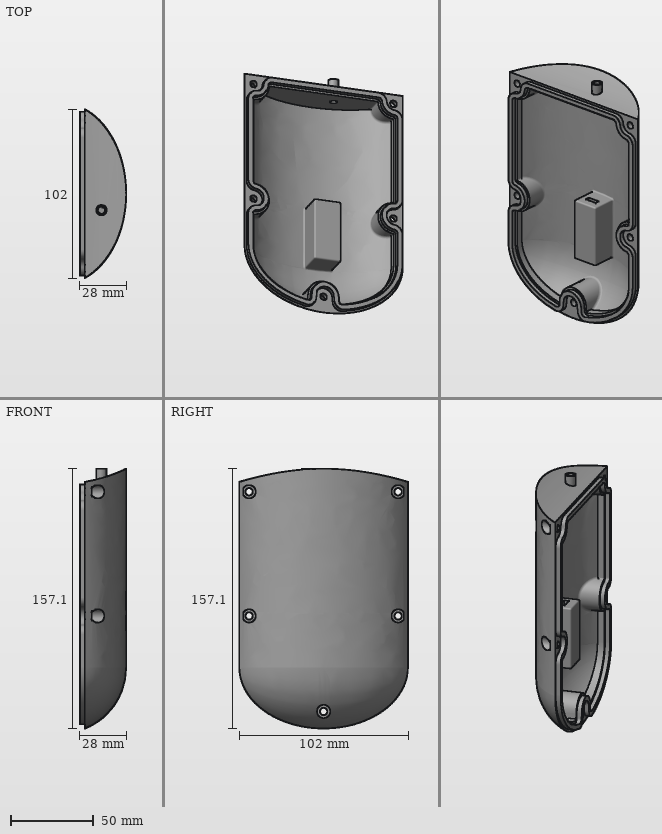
import cadquery as cq
import math

FLANGE_X = 3.0
BACK_X = 28.0
TOP_ARC_RADIUS = 90.0
FLANGE_TOP_Z = 112.0
OVERALL_HEIGHT = 157.05

DOME_RADIUS = 40.0
DOME_HALF_WIDTH = 55.0
DOME_AXIS_X = BACK_X - DOME_RADIUS
SHELL_THICKNESS = 2.5

FLANGE_DROP = FLANGE_X - DOME_AXIS_X
FLANGE_SCALE = math.sqrt(1 - (FLANGE_DROP / DOME_RADIUS) ** 2)
FLANGE_HALF_WIDTH = DOME_HALF_WIDTH * FLANGE_SCALE
FLANGE_END_DEPTH = DOME_RADIUS * FLANGE_SCALE
CROWN_TOP_Z = OVERALL_HEIGHT - FLANGE_END_DEPTH

RIM_OUTER_INSET = 1.5
RIM_INNER_INSET = 4.5
CAVITY_INSET = 6.0
CAVITY_CORNER_RADIUS = 1.0
CAVITY_TOP_Z = FLANGE_TOP_Z - CAVITY_INSET

BOSS_RADIUS = 10.0
BOSS_BASE_FILLET = 1.5
BOSS_CLEARANCE = 0.02
SCREW_HOLE_DIAMETER = 4.3
COUNTERBORE_DIAMETER = 8.0
COUNTERBORE_FLOOR_X = 7.0
SIDE_SCREW_Y = 45.0
SIDE_SCREW_HEIGHTS = (31.0, 106.0)
END_SCREW_Z = -26.7
END_BOSS_FLARE = math.radians(5)

BLOCK_FRONT_X = 8.0
BLOCK_BACK_X = 26.5
BLOCK_Y = (-13.0, 4.0)
BLOCK_MIDDLE_Y = sum(BLOCK_Y) / 2
BLOCK_HEIGHT = 39.0
BLOCK_FILLET = 1.0
SOCKET_LENGTH = 8.0
SOCKET_WIDTH = 3.0
SOCKET_DEPTH = 5.0
SOCKET_X = 15.0

TUBE_X = 13.0
TUBE_Y = -10.0
TUBE_OUTER_DIAMETER = 6.3
TUBE_BORE_DIAMETER = 4.3
TUBE_BORE_OVERRUN = 1.0

TOLERANCE = 0.05
REACH = 200.0

SIDE_SCREWS = [(side * SIDE_SCREW_Y, z) for side in (-1, 1) for z in SIDE_SCREW_HEIGHTS]
SCREWS = SIDE_SCREWS + [(0, END_SCREW_Z)]


def prism(sketch, x_from, x_to):
    """Extrude a closed YZ outline between two x positions."""
    return sketch.extrude(x_to - x_from).translate((x_from, 0, 0))


def cylinder_x(y, z, diameter, x_from, x_to):
    return prism(cq.Workplane("YZ").center(y, z).circle(diameter / 2), x_from, x_to)


def flange_outline(inset):
    """U-shaped flange outline, shrunk by the inset on every side."""
    half_width = FLANGE_HALF_WIDTH - inset
    end_depth = FLANGE_END_DEPTH - inset
    top_z = FLANGE_TOP_Z - inset
    return (
        cq.Workplane("YZ")
        .moveTo(half_width, 0)
        .lineTo(half_width, top_z)
        .lineTo(-half_width, top_z)
        .lineTo(-half_width, 0)
        .ellipseArc(half_width, end_depth, 180, 360, startAtCurrent=True)
        .close()
    )


def boss(y, z, radius, x_from, x_to):
    """Boss column; the one in the rounded end runs down past the end wall."""
    if y != 0:
        return cylinder_x(y, z, 2 * radius, x_from, x_to)
    tangent_y = radius * math.cos(END_BOSS_FLARE)
    tangent_z = z + radius * math.sin(END_BOSS_FLARE)
    foot_z = -DOME_RADIUS
    foot_y = tangent_y + (tangent_z - foot_z) * math.tan(END_BOSS_FLARE)
    arch = (
        cq.Workplane("YZ")
        .moveTo(tangent_y, tangent_z)
        .threePointArc((0, z + radius), (-tangent_y, tangent_z))
        .lineTo(-foot_y, foot_z)
        .lineTo(foot_y, foot_z)
        .close()
    )
    return prism(arch, x_from, x_to)


def runs_along_x(edge):
    start = edge.startPoint()
    end = edge.endPoint()
    return math.hypot(end.y - start.y, end.z - start.z) < TOLERANCE


def is_sharp_corner(edge):
    """True for corner edges along X, leaving out those where the outline runs on smoothly."""
    z = edge.startPoint().z
    return runs_along_x(edge) and (z > TOLERANCE or z < END_SCREW_Z - TOLERANCE)


def sealing_prism(inset, x_from, x_to, boss_clearance=0.0):
    """Prism over the outline at the inset, stepping round every screw boss with blended corners."""
    growth = CAVITY_INSET - inset
    solid = prism(flange_outline(inset), x_from, x_to)
    for y, z in SCREWS:
        solid = solid.cut(boss(y, z, BOSS_RADIUS - growth - boss_clearance, x_from, x_to))
    solid = solid.solids("<Z")
    corners = solid.edges().filter(is_sharp_corner)
    return corners.fillet(CAVITY_CORNER_RADIUS + growth)


def dome(thickness):
    """Elliptical cross-section, straight upwards and revolved round the lower end."""
    half_width = DOME_HALF_WIDTH - thickness
    radius = DOME_RADIUS - thickness

    def half_section():
        return (
            cq.Workplane("XY", origin=(DOME_AXIS_X, 0, 0))
            .moveTo(0, -half_width)
            .ellipseArc(radius, half_width, -90, 90, startAtCurrent=True)
            .close()
        )

    straight_body = half_section().extrude(REACH)
    rounded_end = half_section().revolve(90, (0, 0, 0), (0, 1, 0))
    return straight_body.union(rounded_end)


def outer_body():
    """Solid outside shape behind the mating plane, trimmed by the concave top."""
    trim = (
        cq.Workplane("XZ")
        .moveTo(FLANGE_X, -REACH)
        .lineTo(FLANGE_X, FLANGE_TOP_Z)
        .radiusArc((BACK_X, CROWN_TOP_Z), -TOP_ARC_RADIUS)
        .lineTo(BACK_X, -REACH)
        .close()
        .extrude(REACH, both=True)
    )
    return dome(0).intersect(trim)


def is_boss_base(edge):
    """True for edges where a boss wall meets the curved inside of the shell."""
    middle = edge.positionAt(0.5)
    behind_flange = middle.x > FLANGE_X + TOLERANCE
    on_dome_end = abs(middle.z) < TOLERANCE or middle.z > REACH - TOLERANCE
    return behind_flange and not on_dome_end and not runs_along_x(edge)


def is_block_base(edge):
    """True for edges where the connector block meets the curved inside of the shell."""
    middle = edge.positionAt(0.5)
    within_block_width = BLOCK_Y[0] - TOLERANCE < middle.y < BLOCK_Y[1] + TOLERANCE
    within_block_height = -TOLERANCE < middle.z < BLOCK_HEIGHT + TOLERANCE
    on_shell = middle.x > BACK_X - 2 * SHELL_THICKNESS
    return within_block_width and within_block_height and on_shell


def connector_block():
    """Block with rounded edges, long enough to sink into the back of the shell."""
    width = BLOCK_Y[1] - BLOCK_Y[0]
    return (
        cq.Workplane("XY")
        .box(BLOCK_BACK_X - BLOCK_FRONT_X, width, BLOCK_HEIGHT, centered=False)
        .translate((BLOCK_FRONT_X, BLOCK_Y[0], 0))
        .edges("|X or <X")
        .fillet(BLOCK_FILLET)
    )


def cavity():
    """Hollow behind the mating plane, leaving the bosses and the connector block standing."""
    behind_flange = cq.Workplane("XY", origin=(FLANGE_X, 0, 0)).box(
        BACK_X - FLANGE_X, REACH, 2 * REACH, centered=(False, True, True)
    )
    hollow = dome(SHELL_THICKNESS).intersect(behind_flange)
    for y, z in SCREWS:
        hollow = hollow.cut(boss(y, z, BOSS_RADIUS, FLANGE_X, BACK_X))
    hollow = hollow.edges().filter(is_boss_base).fillet(BOSS_BASE_FILLET)
    hollow = hollow.intersect(sealing_prism(CAVITY_INSET, FLANGE_X, BACK_X, BOSS_CLEARANCE))
    hollow = hollow.cut(connector_block())
    return hollow.edges().filter(is_block_base).fillet(BLOCK_FILLET)


def sealing_rim():
    """Raised rim standing on the mating plane."""
    outside = sealing_prism(RIM_OUTER_INSET, 0, FLANGE_X)
    return outside.cut(sealing_prism(RIM_INNER_INSET, 0, FLANGE_X))


def screw_hole(y, z):
    """Through hole with a counterbore sunk from the curved back."""
    hole = cylinder_x(y, z, SCREW_HOLE_DIAMETER, 0, BACK_X)
    return hole.union(cylinder_x(y, z, COUNTERBORE_DIAMETER, COUNTERBORE_FLOOR_X, BACK_X))


def socket():
    """Slot sunk into the upper end of the connector block."""
    return cq.Workplane("XY").box(SOCKET_WIDTH, SOCKET_LENGTH, SOCKET_DEPTH).translate(
        (SOCKET_X, BLOCK_MIDDLE_Y, BLOCK_HEIGHT - SOCKET_DEPTH / 2)
    )


def upright_cylinder(diameter, z_from, z_to):
    """Cylinder on the tube axis."""
    base = cq.Workplane("XY", origin=(TUBE_X, TUBE_Y, z_from))
    return base.circle(diameter / 2).extrude(z_to - z_from)


result = outer_body().union(sealing_rim())
result = result.union(upright_cylinder(TUBE_OUTER_DIAMETER, FLANGE_TOP_Z, CROWN_TOP_Z))
result = result.cut(cavity())
result = result.cut(upright_cylinder(TUBE_BORE_DIAMETER, CAVITY_TOP_Z - TUBE_BORE_OVERRUN, CROWN_TOP_Z))
result = result.cut(socket())
for screw_y, screw_z in SCREWS:
    result = result.cut(screw_hole(screw_y, screw_z))